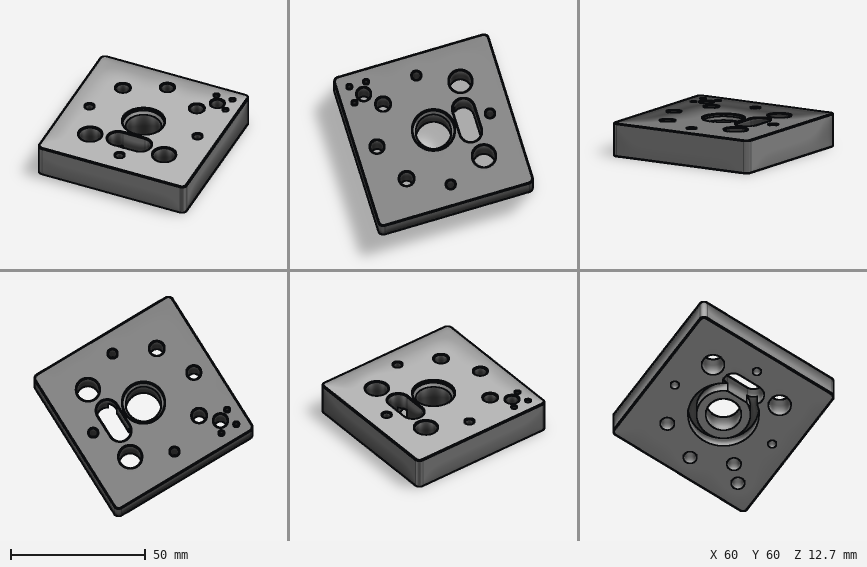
import cadquery as cq

side = 60
thickness = 12.7
corner_radius = 2.0
edge_chamfer = 0.4

rim_chamfer = 0.4
rim_angle = 45

bore_diameter = 13.2
recess_diameter = 15.4
recess_depth = 1.15
seat_height = (recess_diameter - bore_diameter) / 2

groove_inner_diameter = 20.0
groove_outer_diameter = 26.4
groove_depth = 6

slot_width = 8.0
slot_straight = 9
slot_length = slot_straight + slot_width
slot_offset = 13.0

axis_offset = 21.9
small_axis_diameter = 3.2
large_axis_diameter = 5.0

diagonal_offset = 15
upper_diagonal_diameter = 5.3
lower_diagonal_diameter = 8.4

corner_hole_offset = 20.75
corner_hole_diameter = 5.0
blind_diameter = 1.6
blind_depth = 4.8
blind_tip_height = 0.5
blind_outer_offset = 25.0
blind_pitch = 6.5
blind_inner_offset = blind_outer_offset - blind_pitch


def cylinder(diameter, height, top_z):
    """Cylinder on the Z axis whose upper end is at top_z."""
    return cq.Workplane("XY", origin=(0, 0, top_z)).circle(diameter / 2).extrude(-height)


def cone(top_diameter, bottom_diameter, height, top_z):
    """Cone on the Z axis that narrows downward from top_z."""
    solid = cq.Solid.makeCone(bottom_diameter / 2, top_diameter / 2, height)
    return cq.Workplane(solid).translate((0, 0, top_z - height))


def cut_at(body, cutter, points):
    """Remove a copy of the cutter at each (x, y) point."""
    for x, y in points:
        body = body.cut(cutter.translate((x, y, 0)))
    return body


def drill(body, diameter, points, depth=thickness):
    """Drill flat-ended holes with chamfered rims from the top face."""
    rim = cone(diameter + 2 * rim_chamfer, diameter, rim_chamfer, thickness)
    return cut_at(body, cylinder(diameter, depth, thickness).union(rim), points)


def make_plate():
    plate = cq.Workplane("XY").rect(side, side).extrude(thickness)
    plate = plate.edges("|Z").fillet(corner_radius)
    return plate.faces("<Z or >Z").edges().chamfer(edge_chamfer)


def cut_bore(body):
    centre = [(0, 0)]
    body = drill(body, bore_diameter, centre)
    body = drill(body, recess_diameter, centre, recess_depth)
    seat = cone(recess_diameter, bore_diameter, seat_height, thickness - recess_depth)
    return body.cut(seat)


def cut_groove(body):
    outer = cylinder(groove_outer_diameter, groove_depth, groove_depth)
    inner = cylinder(groove_inner_diameter, groove_depth, groove_depth)
    return body.cut(outer.cut(inner))


def cut_slot(body):
    top = cq.Workplane("XY", origin=(0, -slot_offset, thickness))
    slot = top.slot2D(slot_length, slot_width).extrude(-thickness)
    rim = top.slot2D(slot_length + 2 * rim_chamfer, slot_width + 2 * rim_chamfer)
    return body.cut(slot).cut(rim.extrude(-rim_chamfer, taper=rim_angle))


def cut_axis_holes(body):
    small_points = [(-axis_offset, 0), (axis_offset, 0), (0, -axis_offset)]
    body = drill(body, small_axis_diameter, small_points)
    return drill(body, large_axis_diameter, [(0, axis_offset)])


def cut_diagonal_holes(body):
    for x in (-diagonal_offset, diagonal_offset):
        body = drill(body, upper_diagonal_diameter, [(x, diagonal_offset)])
        body = drill(body, lower_diagonal_diameter, [(x, -diagonal_offset)])
    return body


def cut_corner_group(body):
    body = drill(body, corner_hole_diameter, [(corner_hole_offset, corner_hole_offset)])
    blind_points = [
        (blind_inner_offset, blind_outer_offset),
        (blind_outer_offset, blind_outer_offset),
        (blind_outer_offset, blind_inner_offset),
    ]
    body = drill(body, blind_diameter, blind_points, blind_depth)
    tip = cone(blind_diameter, 0, blind_tip_height, thickness - blind_depth)
    return cut_at(body, tip, blind_points)


plate = make_plate()
plate = cut_bore(plate)
plate = cut_groove(plate)
plate = cut_slot(plate)
plate = cut_axis_holes(plate)
plate = cut_diagonal_holes(plate)
result = cut_corner_group(plate)